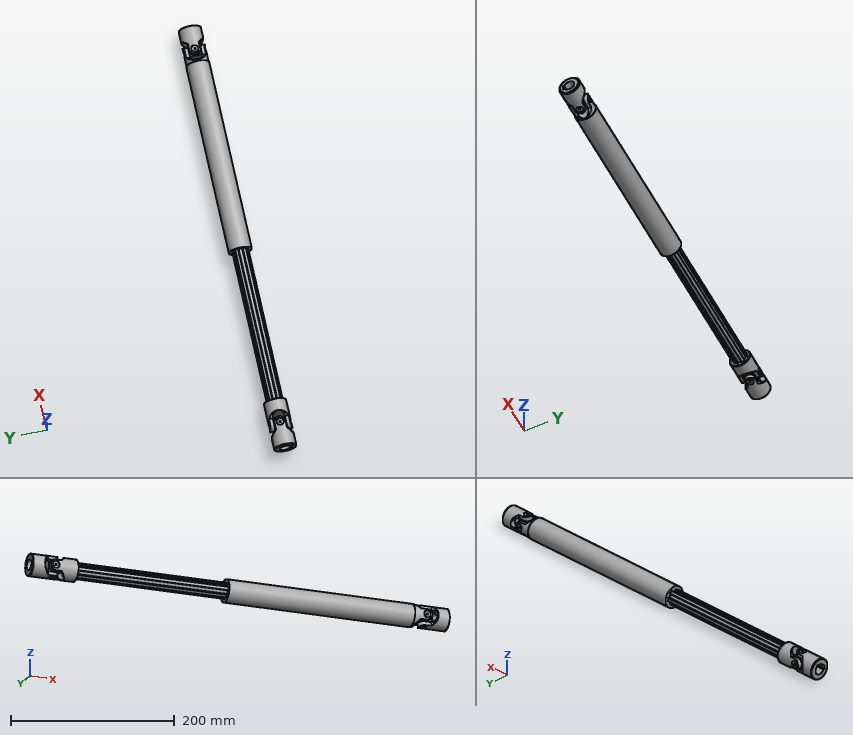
import cadquery as cq

total_length = 550.0
joint_half_length = 30.0
tube_start = 258.5
tube_end = 503.0

yoke_diameter = 28.0
fork_gap = 15.5
fork_depth = 15.0
ear_width = 14.0
relief_start = 7.5
bore_diameter = 14.0
keyway_width = 5.0
keyway_depth = 1.5
rim_chamfer = 0.8
end_diameter = 24.0
end_chamfer_length = 1.0

tube_diameter = 29.0
tooth_count = 6
spline_diameter = 20.5
spline_root_diameter = 16.5
tooth_width = 4.5
spline_engagement = 165.0

hub_length = 14.5
pin_diameter = 9.0
pin_span = 26.5
centre_hole_diameter = 1.8
centre_hole_depth = 1.5

yoke_radius = yoke_diameter / 2
ear_radius = ear_width / 2
left_joint_x = joint_half_length
right_joint_x = total_length - joint_half_length
shaft_shoulder_x = left_joint_x + joint_half_length
spline_end = tube_start + spline_engagement


def x_cylinder(diameter, start, end):
    return cq.Workplane("YZ", origin=(start, 0, 0)).circle(diameter / 2).extrude(end - start)


def fork_opening():
    arc_centre_x = fork_gap / 2 - fork_depth
    return (
        cq.Workplane("XZ")
        .moveTo(yoke_diameter, fork_gap / 2)
        .lineTo(arc_centre_x, fork_gap / 2)
        .threePointArc((-fork_depth, 0), (arc_centre_x, -fork_gap / 2))
        .lineTo(yoke_diameter, -fork_gap / 2)
        .close()
        .extrude(yoke_radius, both=True)
    )


def ear_outline():
    """Ear seen along its pin: round tip, parallel sides, 45 degree flanks back to the full body."""
    flank_run = yoke_diameter
    back_x = -relief_start - flank_run
    back_y = ear_radius + flank_run
    return (
        cq.Workplane("XY")
        .moveTo(0, ear_radius)
        .threePointArc((ear_radius, 0), (0, -ear_radius))
        .lineTo(-relief_start, -ear_radius)
        .lineTo(back_x, -back_y)
        .lineTo(back_x, back_y)
        .lineTo(-relief_start, ear_radius)
        .close()
        .extrude(yoke_radius, both=True)
    )


def yoke(back_length, rim_length=0, rim_depth=0):
    """Yoke about a joint centre at the origin, with its fork opening toward +X and its ears along Z."""
    body = x_cylinder(yoke_diameter, -back_length, ear_radius)
    if rim_depth > 0:
        body = body.faces("<X").chamfer(rim_length, rim_depth)
    pin_hole = cq.Workplane("XY").circle(pin_diameter / 2).extrude(yoke_radius, both=True)
    return body.intersect(ear_outline()).cut(fork_opening()).cut(pin_hole)


def quarter_turn(body):
    """Turn about the X axis, so ears along Z come to lie along Y."""
    return body.rotate((0, 0, 0), (1, 0, 0), 90)


def spline(start, end):
    length = end - start
    core = x_cylinder(spline_root_diameter, start, end)
    tip_cylinder = x_cylinder(spline_diameter, start, end)
    tooth_pair = (
        cq.Workplane("XY")
        .box(length, spline_diameter, tooth_width)
        .translate(((start + end) / 2, 0, 0))
        .intersect(tip_cylinder)
    )
    for i in range(tooth_count // 2):
        core = core.union(tooth_pair.rotate((0, 0, 0), (1, 0, 0), i * 360 / tooth_count))
    return core


def end_yoke(rim_length, rim_depth):
    bore = x_cylinder(bore_diameter, -joint_half_length, 0)
    keyway_reach = bore_diameter / 2 + keyway_depth
    keyway = cq.Workplane("XY").box(joint_half_length, keyway_reach, keyway_width)
    keyway = keyway.translate((-joint_half_length / 2, -keyway_reach / 2, 0))
    return yoke(joint_half_length, rim_length, rim_depth).cut(bore).cut(keyway)


def splined_shaft():
    fork = quarter_turn(yoke(joint_half_length, rim_chamfer, rim_chamfer)).mirror("YZ")
    return fork.translate((left_joint_x, 0, 0)).union(spline(shaft_shoulder_x, spline_end))


def tube_yoke():
    tube = x_cylinder(tube_diameter, tube_start, tube_end).cut(spline(tube_start, spline_end))
    fork = quarter_turn(yoke(right_joint_x - tube_end))
    return fork.translate((right_joint_x, 0, 0)).union(tube)


def cross():
    """Block hub that fills the forks, with a pin into each ear."""
    body = cq.Workplane("XY").box(hub_length, fork_gap, fork_gap)
    for plane in ("XY", "XZ"):
        body = body.union(cq.Workplane(plane).circle(pin_diameter / 2).extrude(pin_span / 2, both=True))
    for face in (">Z", "<Z", ">Y", "<Y"):
        pin_end = body.faces(face).workplane(centerOption="CenterOfMass")
        body = pin_end.hole(centre_hole_diameter, centre_hole_depth)
    return body


end_chamfer_depth = (yoke_diameter - end_diameter) / 2
left_yoke = end_yoke(rim_chamfer, rim_chamfer).translate((left_joint_x, 0, 0))
right_yoke = end_yoke(end_chamfer_length, end_chamfer_depth).mirror("YZ").translate((right_joint_x, 0, 0))
shaft = splined_shaft()
tube = tube_yoke()
crosses = [cross().translate((x, 0, 0)) for x in (left_joint_x, right_joint_x)]

result = cq.Compound.makeCompound(
    [left_yoke.val(), shaft.val(), tube.val(), right_yoke.val()] + [body.val() for body in crosses]
)